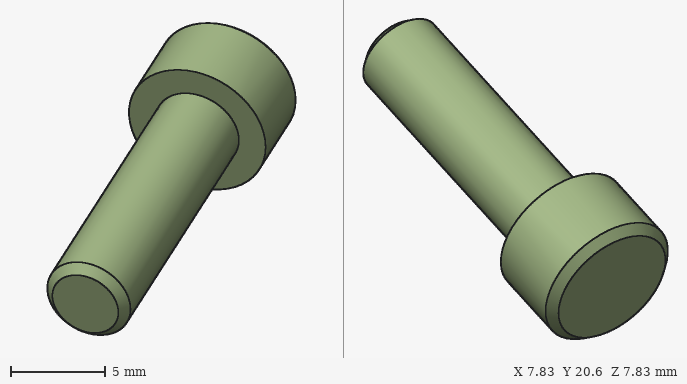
import cadquery as cq

total_length = 20.65
head_diameter = 7.83
head_height = 4.77
shank_diameter = 4.77
chamfer_size = 0.5

shank_length = total_length - head_height


def make_head():
    """Head from Y = 0 towards +Y, chamfered around its outer end."""
    head = cq.Workplane("XZ").circle(head_diameter / 2).extrude(-head_height)
    return head.faces(">Y").chamfer(chamfer_size)


def make_shank():
    """Plain shank from Y = 0 towards -Y, chamfered at its tip."""
    shank = cq.Workplane("XZ").circle(shank_diameter / 2).extrude(shank_length)
    return shank.faces("<Y").chamfer(chamfer_size)


result = make_head().union(make_shank())